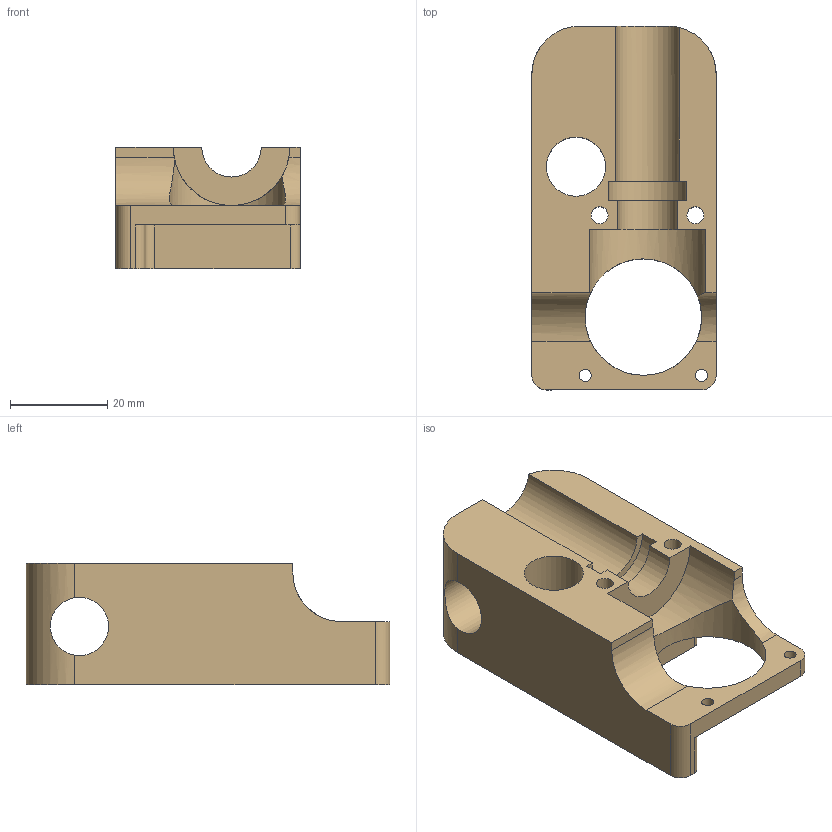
import cadquery as cq

WIDTH = 38.0
LENGTH = 75.0
HEIGHT = 25.0
FRONT_CORNER_RADIUS = 3.0
BACK_CORNER_RADIUS = 10.0

FLANGE_TOP = 13.0
FLANGE_THICKNESS = 4.0
FLANGE_LENGTH = 10.0
STEP_RADIUS = 10.0

TROUGH_X = 23.85
MOTOR_DIAMETER = 24.0
SEAT_DIAMETER = 12.25
COLLAR_DIAMETER = 16.25
BARREL_DIAMETER = 13.1
SEAT_START = 33.0
SEAT_LENGTH = 6.0
COLLAR_LENGTH = 4.0

OPENING_X = 23.0
OPENING_Y = 15.0
OPENING_DIAMETER = 24.0

POCKET_HEIGHT = FLANGE_TOP - FLANGE_THICKNESS
POCKET_WALL = 6.0
POCKET_DEPTH = 32.0
POCKET_CORNER_RADIUS = 2.0

SHAFT_HOLE_X = 9.1
SHAFT_HOLE_Y = 46.0
SHAFT_HOLE_DIAMETER = 12.2
CROSS_HOLE_Y = 64.0
CROSS_HOLE_Z = 12.0
CROSS_HOLE_DIAMETER = 12.0

SEAT_SCREW_DIAMETER = 3.5
SEAT_SCREW_SPACING = 19.75
FLANGE_SCREW_DIAMETER = 2.5
FLANGE_SCREW_SPACING = 24.0
FLANGE_SCREW_Y = 3.0


def make_block():
    """Full-height block with its four upright corners rounded."""
    block = cq.Workplane("XY").box(WIDTH, LENGTH, HEIGHT, centered=False)
    block = block.edges("|Z and <Y").fillet(FRONT_CORNER_RADIUS)
    return block.edges("|Z and >Y").fillet(BACK_CORNER_RADIUS)


def make_step():
    """Material removed above the flange, ending in the concave arc."""
    arc_end_y = FLANGE_LENGTH + STEP_RADIUS
    arc_end_z = FLANGE_TOP + STEP_RADIUS
    return (
        cq.Workplane("YZ")
        .moveTo(0, FLANGE_TOP)
        .lineTo(FLANGE_LENGTH, FLANGE_TOP)
        .radiusArc((arc_end_y, arc_end_z), -STEP_RADIUS)
        .lineTo(arc_end_y, HEIGHT)
        .lineTo(0, HEIGHT)
        .close()
        .extrude(WIDTH)
    )


def make_pocket():
    """Pocket with its inner corner and its two wall ends rounded."""
    radius = POCKET_CORNER_RADIUS
    inner_y = POCKET_DEPTH - radius
    return (
        cq.Workplane("XY")
        .moveTo(POCKET_WALL - radius, 0)
        .radiusArc((POCKET_WALL, radius), -radius)
        .lineTo(POCKET_WALL, inner_y)
        .radiusArc((POCKET_WALL + radius, POCKET_DEPTH), radius)
        .lineTo(WIDTH - radius, POCKET_DEPTH)
        .radiusArc((WIDTH, POCKET_DEPTH + radius), -radius)
        .lineTo(WIDTH, 0)
        .close()
        .extrude(POCKET_HEIGHT)
    )


def make_trough():
    """Coaxial cylinders whose lower halves form the stepped trough."""
    collar_start = SEAT_START + SEAT_LENGTH
    barrel_start = collar_start + COLLAR_LENGTH
    sections = [
        (0, SEAT_START, MOTOR_DIAMETER),
        (SEAT_START, collar_start, SEAT_DIAMETER),
        (collar_start, barrel_start, COLLAR_DIAMETER),
        (barrel_start, LENGTH, BARREL_DIAMETER),
    ]
    trough = cq.Workplane("XY")
    for start, end, diameter in sections:
        axis_start = cq.Vector(TROUGH_X, start, HEIGHT)
        cylinder = cq.Solid.makeCylinder(diameter / 2, end - start, axis_start, cq.Vector(0, 1, 0))
        trough = trough.add(cylinder)
    return trough.combine()


def upright_hole(x, y, diameter):
    """Cylinder through the full height at one place."""
    return cq.Workplane("XY").center(x, y).circle(diameter / 2).extrude(HEIGHT)


def make_cross_hole():
    """Cylinder through the full width, near the rounded end."""
    hole = cq.Workplane("YZ").center(CROSS_HOLE_Y, CROSS_HOLE_Z)
    return hole.circle(CROSS_HOLE_DIAMETER / 2).extrude(WIDTH)


result = make_block().cut(make_step()).cut(make_pocket()).cut(make_trough())
result = result.cut(upright_hole(OPENING_X, OPENING_Y, OPENING_DIAMETER))
result = result.cut(upright_hole(SHAFT_HOLE_X, SHAFT_HOLE_Y, SHAFT_HOLE_DIAMETER))
result = result.cut(make_cross_hole())

seat_screw_y = SEAT_START + SEAT_LENGTH / 2
for side in (-1, 1):
    seat_screw_x = TROUGH_X + side * SEAT_SCREW_SPACING / 2
    flange_screw_x = OPENING_X + side * FLANGE_SCREW_SPACING / 2
    result = result.cut(upright_hole(seat_screw_x, seat_screw_y, SEAT_SCREW_DIAMETER))
    result = result.cut(upright_hole(flange_screw_x, FLANGE_SCREW_Y, FLANGE_SCREW_DIAMETER))